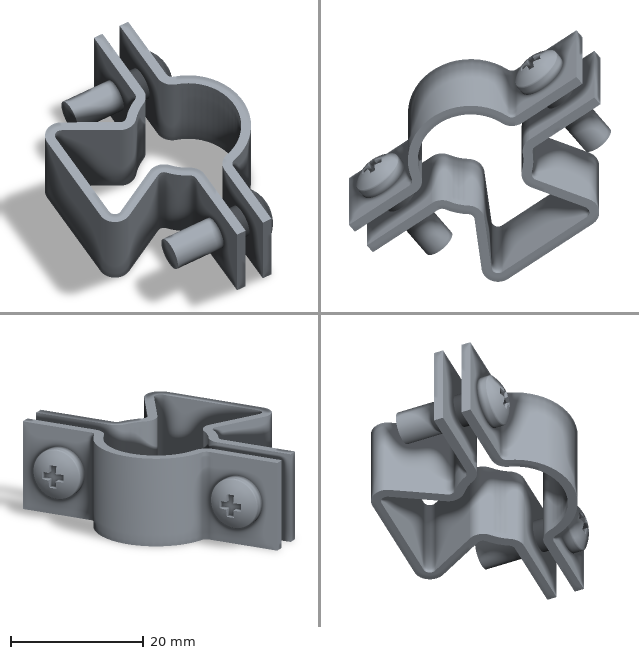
import cadquery as cq
import math

thickness = 1.5
strap_width = 14.0
inner_bend = 1.0
outer_bend = inner_bend + thickness
half_length = 21.5
flange_gap = 3.0
flange_near = flange_gap / 2
flange_far = flange_near + thickness

arch_radius = 8.0
arch_outer = arch_radius + thickness
arch_center_y = 0.97

cradle_radius = 7.9
cradle_outer = cradle_radius + thickness
cradle_center_y = 0.9

base_y = -19.0
base_half_flat = 8.0
leg_angle = 60.0

screw_x = 15.0
shank_diameter = 5.0
screw_length = 14.0
head_radius = 3.95
head_side = 1.58
head_height = 3.15
rim_fillet = 0.3
recess_width = 1.2
recess_span = 3.6
recess_depth = 1.2


def polar(center, radius, degrees):
    """Point at a given radius and direction from a centre."""
    a = math.radians(degrees)
    return (center[0] + radius * math.cos(a), center[1] + radius * math.sin(a))


def direction(start, end):
    """Direction from one point to another, in degrees."""
    return math.degrees(math.atan2(end[1] - start[1], end[0] - start[0]))


def add_arc(outline, center, radius, start, end):
    """Continue an outline along an arc that begins where the outline stands."""
    return outline.threePointArc(
        polar(center, radius, (start + end) / 2), polar(center, radius, end)
    )


def add_line_and_arc(outline, center, radius, start, end):
    """Run a straight line to the start of an arc, then follow the arc."""
    return add_arc(outline.lineTo(*polar(center, radius, start)), center, radius, start, end)


def drill_screw_holes(strap):
    """Holes along Y for the screw shanks."""
    for x in (-screw_x, screw_x):
        hole = (
            cq.Workplane("XZ", origin=(x, flange_far, 0))
            .circle(shank_diameter / 2)
            .extrude(2 * flange_far)
        )
        strap = strap.cut(hole)
    return strap


def make_strap(half_outline):
    """Bent strap from the outline of its right half, mirrored across X = 0 and drilled."""
    half = half_outline.close().extrude(strap_width / 2, both=True)
    return drill_screw_holes(half.union(half.mirror("YZ")))


def make_arch():
    """Upper half: an arch over the pipe with a flange on each side."""
    arch_to_bend = arch_outer + inner_bend
    seat = (0, arch_center_y)
    bend_y = flange_far + inner_bend
    bend_x = math.sqrt(arch_to_bend**2 - (bend_y - arch_center_y) ** 2)
    flange_bend = (bend_x, bend_y)
    angle = direction(seat, flange_bend)

    outline = cq.Workplane("XY").moveTo(half_length, flange_far).lineTo(half_length, flange_near)
    outline = add_line_and_arc(outline, flange_bend, outer_bend, 270, 180 + angle)
    outline = add_arc(outline, seat, arch_radius, angle, 90)
    outline = outline.lineTo(0, arch_center_y + arch_outer)
    outline = add_arc(outline, seat, arch_outer, 90, angle)
    outline = add_arc(outline, flange_bend, inner_bend, 180 + angle, 270)
    return make_strap(outline)


def make_cradle():
    """Lower half: flanges, two short seat arcs and a dovetail-shaped loop."""
    cradle_to_bend = cradle_outer + inner_bend
    seat = (0, cradle_center_y)

    flange_bend_y = -flange_far - inner_bend
    flange_bend_x = math.sqrt(cradle_to_bend**2 - (flange_bend_y - cradle_center_y) ** 2)
    flange_bend = (flange_bend_x, flange_bend_y)
    seat_start = direction(seat, flange_bend)

    base_bend = (base_half_flat, base_y + outer_bend)
    leg_normal = 90 - leg_angle

    line_start = polar(base_bend, inner_bend + outer_bend, leg_normal)
    along = math.radians(180 - leg_angle)
    dx, dy = line_start[0] - seat[0], line_start[1] - seat[1]
    half_b = dx * math.cos(along) + dy * math.sin(along)
    travel = -half_b - math.sqrt(half_b**2 - (dx**2 + dy**2 - cradle_to_bend**2))
    waist_bend = polar(line_start, travel, 180 - leg_angle)
    seat_end = direction(seat, waist_bend)

    outline = cq.Workplane("XY").moveTo(half_length, -flange_near).lineTo(half_length, -flange_far)
    outline = add_line_and_arc(outline, flange_bend, inner_bend, 90, 180 + seat_start)
    outline = add_arc(outline, seat, cradle_outer, seat_start, seat_end)
    outline = add_arc(outline, waist_bend, inner_bend, 180 + seat_end, 180 + leg_normal)
    outline = add_line_and_arc(outline, base_bend, outer_bend, leg_normal, -90)
    outline = outline.lineTo(0, base_y).lineTo(0, base_y + thickness)
    outline = add_line_and_arc(outline, base_bend, inner_bend, -90, leg_normal)
    outline = add_line_and_arc(outline, waist_bend, outer_bend, 180 + leg_normal, 180 + seat_end)
    outline = add_arc(outline, seat, cradle_radius, seat_end, seat_start)
    outline = add_arc(outline, flange_bend, outer_bend, 180 + seat_start, 90)
    return make_strap(outline)


def make_screw(x):
    """Domed cross-recess screw along Y, its head resting on the upper flange."""
    rise = head_height - head_side
    dome_radius = (head_radius**2 + rise**2) / (2 * rise)
    dome_center = (0, head_height - dome_radius)
    rim_angle = direction(dome_center, (head_radius, head_side))
    head = (
        cq.Workplane("XY")
        .lineTo(head_radius, 0)
        .lineTo(head_radius, head_side)
        .threePointArc(polar(dome_center, dome_radius, (rim_angle + 90) / 2), (0, head_height))
        .close()
        .revolve(360, (0, 0, 0), (0, 1, 0))
        .edges(cq.selectors.NearestToPointSelector((0, head_side, 0)))
        .fillet(rim_fillet)
    )
    shank = cq.Workplane("XZ").circle(shank_diameter / 2).extrude(screw_length)
    recess = (
        cq.Workplane("XZ", origin=(0, head_height, 0))
        .rect(recess_span, recess_width)
        .extrude(recess_depth)
        .union(
            cq.Workplane("XZ", origin=(0, head_height, 0))
            .rect(recess_width, recess_span)
            .extrude(recess_depth)
        )
    )
    return head.union(shank).cut(recess).translate((x, flange_far, 0))


arch = make_arch()
cradle = make_cradle()
screws = [make_screw(x).val() for x in (-screw_x, screw_x)]

result = cq.Compound.makeCompound([arch.val(), cradle.val(), *screws])